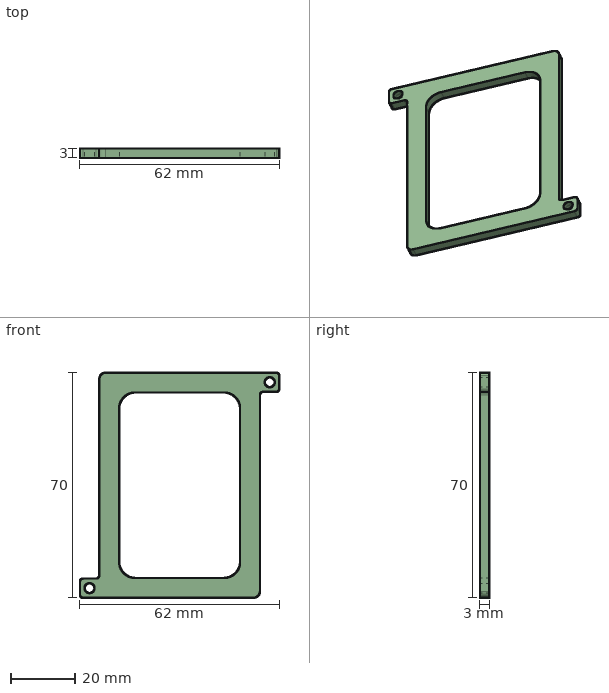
import cadquery as cq

height = 70.0
overall_width = 62.0
thickness = 3.0

tab_size = 6.0
hole_diameter = 3.0
hole_inset = tab_size / 2

border = 6.2
window_radius = 5.0

frame_radius = 2.0
tab_radius = 1.0
inner_radius = 1.0

frame_width = overall_width - 2 * tab_size
half_frame = frame_width / 2
half_width = overall_width / 2
half_height = height / 2


def plate(width, length):
    """Upright plate centred on the origin."""
    return cq.Workplane("XY").box(width, thickness, length)


def round_edge(body, x, z, radius):
    """Round the outline corner at (x, z) through the thickness."""
    corner = cq.selectors.NearestToPointSelector((x, 0, z))
    return body.edges("|Y").edges(corner).fillet(radius)


frame = plate(frame_width, height)

for side in (-1, 1):
    tab = plate(tab_size, tab_size).translate(
        (side * (half_width - tab_size / 2), 0, side * (half_height - tab_size / 2))
    )
    frame = frame.union(tab)
frame = frame.clean()

for side in (-1, 1):
    tab_inner_z = side * (half_height - tab_size)
    frame = round_edge(frame, -side * half_frame, side * half_height, frame_radius)
    frame = round_edge(frame, side * half_width, side * half_height, tab_radius)
    frame = round_edge(frame, side * half_width, tab_inner_z, tab_radius)
    frame = round_edge(frame, side * half_frame, tab_inner_z, inner_radius)

window = plate(frame_width - 2 * border, height - 2 * border).edges("|Y").fillet(window_radius)
frame = frame.cut(window)

hole_x = half_width - hole_inset
hole_z = half_height - hole_inset
holes = (
    cq.Workplane("XZ")
    .pushPoints([(-hole_x, -hole_z), (hole_x, hole_z)])
    .circle(hole_diameter / 2)
    .extrude(thickness, both=True)
)

result = frame.cut(holes)